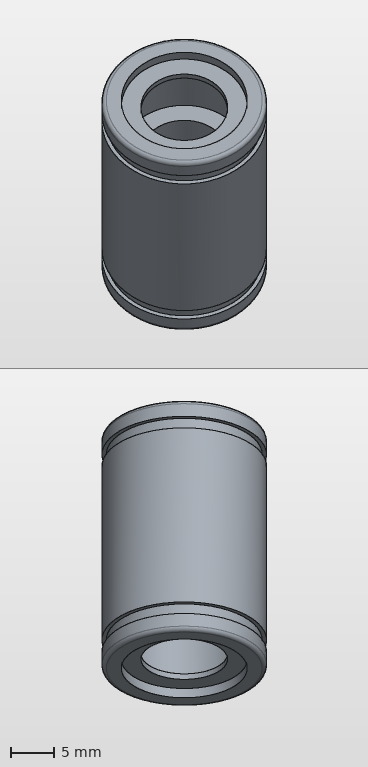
import cadquery as cq

length = 30.0
outer_diameter = 19.0
bore_diameter = 10.0
edge_radius = 0.5

groove_diameter = 18.0
groove_width = 1.5
groove_end_distance = 2.15

recess_diameter = 14.52
recess_depth = 1.2

lip_thickness = 0.72
chamber_length = 7.55


def cylinder(diameter, height, base_z):
    """Solid cylinder on the Z axis, starting at base_z."""
    return cq.Workplane("XY").workplane(offset=base_z).circle(diameter / 2).extrude(height)


half_length = length / 2
body = cylinder(outer_diameter, length, -half_length).edges().fillet(edge_radius)
body = body.cut(cylinder(bore_diameter, length, -half_length))

for base_z in (-half_length, half_length - recess_depth):
    body = body.cut(cylinder(recess_diameter, recess_depth, base_z))

chamber_end_distance = recess_depth + lip_thickness
chamber_base = half_length - chamber_end_distance - chamber_length
for base_z in (-half_length + chamber_end_distance, chamber_base):
    body = body.cut(cylinder(recess_diameter, chamber_length, base_z))

groove_base = half_length - groove_end_distance - groove_width
for base_z in (-half_length + groove_end_distance, groove_base):
    ring = cylinder(outer_diameter, groove_width, base_z)
    ring = ring.cut(cylinder(groove_diameter, groove_width, base_z))
    body = body.cut(ring)

result = body